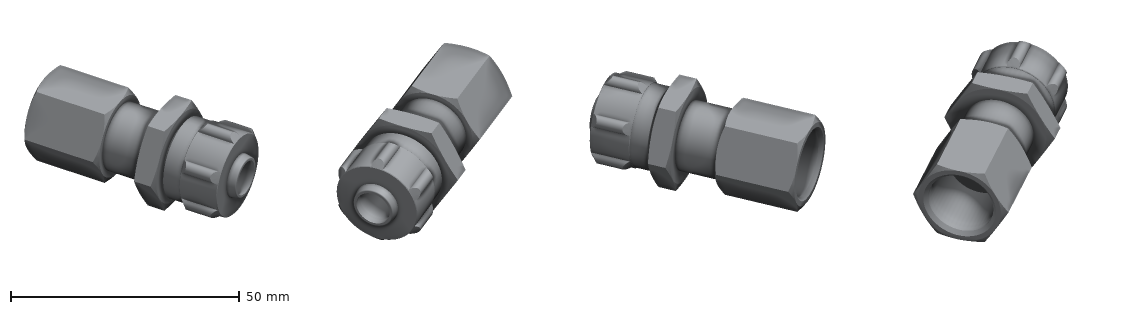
import cadquery as cq
import math

sleeve_end = 18.65
nut_start = 28.55
nut_end = 33.6
collar_start = 34.55
knob_start = 38.65
knob_end = 48.0
total_length = 50.0

sleeve_flats = 19.0
sleeve_chamfer_angle = 30.0
nut_flats = 22.0
nut_chamfer_angle = 15.0
nut_face_diameter = 21.8

tube_diameter = 16.0
collar_diameter = 19.05
tip_base_diameter = 10.3
tip_end_diameter = 9.4
tip_fillet = 0.3

knob_diameter = 19.5
knob_edge_chamfer = 0.15
rib_count = 6
rib_tip_diameter = 22.4
rib_radius = 1.45
rib_chamfer = 1.6

bore_diameter = 8.0
socket_diameter = 14.95
socket_depth = 15.0
socket_mouth_diameter = 16.7


def cylinder(start, end, diameter):
    return cq.Workplane("YZ", origin=(start, 0, 0)).circle(diameter / 2).extrude(end - start)


def revolve_profile(points):
    """Revolve (x, radius) points around the X axis."""
    return cq.Workplane("XY").polyline(points).close().revolve(360, (0, 0, 0), (1, 0, 0))


def beveled_envelope(start, end, face_radius, outer_radius, bevel_length):
    """Solid of revolution whose two ends taper down to face_radius."""
    return revolve_profile([
        (start, 0),
        (start, face_radius),
        (start + bevel_length, outer_radius),
        (end - bevel_length, outer_radius),
        (end, face_radius),
        (end, 0),
    ])


def chamfered_hexagon(start, end, across_flats, face_diameter, chamfer_angle):
    """Hexagonal prism with corners on the Y axis and conical chamfers on both ends."""
    across_corners = across_flats / math.cos(math.radians(30))
    prism = cq.Workplane("YZ", origin=(start, 0, 0)).polygon(6, across_corners).extrude(end - start)
    radial_cut = (across_corners - face_diameter) / 2
    bevel_length = radial_cut * math.tan(math.radians(chamfer_angle))
    envelope = beveled_envelope(start, end, face_diameter / 2, across_corners / 2, bevel_length)
    return prism.intersect(envelope)


def make_knob():
    knob = cylinder(knob_start, knob_end, knob_diameter).edges().chamfer(knob_edge_chamfer)
    rib_tip_radius = rib_tip_diameter / 2
    ribs = (
        cq.Workplane("YZ", origin=(knob_start, 0, 0))
        .polarArray(rib_tip_radius - rib_radius, 90, 360, rib_count)
        .circle(rib_radius)
        .extrude(knob_end - knob_start)
    )
    envelope = beveled_envelope(
        knob_start, knob_end, rib_tip_radius - rib_chamfer, rib_tip_radius, rib_chamfer
    )
    return knob.union(ribs.intersect(envelope))


def make_tip():
    tip = revolve_profile([
        (knob_end, 0),
        (knob_end, tip_base_diameter / 2),
        (total_length, tip_end_diameter / 2),
        (total_length, 0),
    ])
    return tip.faces(">X").edges().fillet(tip_fillet)


def make_socket():
    """Stepped end socket with a 45 degree countersunk mouth."""
    mouth_depth = (socket_mouth_diameter - socket_diameter) / 2
    return revolve_profile([
        (0, 0),
        (0, socket_mouth_diameter / 2),
        (mouth_depth, socket_diameter / 2),
        (socket_depth, socket_diameter / 2),
        (socket_depth, 0),
    ])


sleeve = chamfered_hexagon(0, sleeve_end, sleeve_flats, sleeve_flats, sleeve_chamfer_angle)
nut = chamfered_hexagon(nut_start, nut_end, nut_flats, nut_face_diameter, nut_chamfer_angle)

result = (
    sleeve
    .union(cylinder(sleeve_end, collar_start, tube_diameter))
    .union(nut)
    .union(cylinder(collar_start, knob_start, collar_diameter))
    .union(make_knob())
    .union(make_tip())
    .cut(make_socket())
    .cut(cylinder(0, total_length, bore_diameter))
)